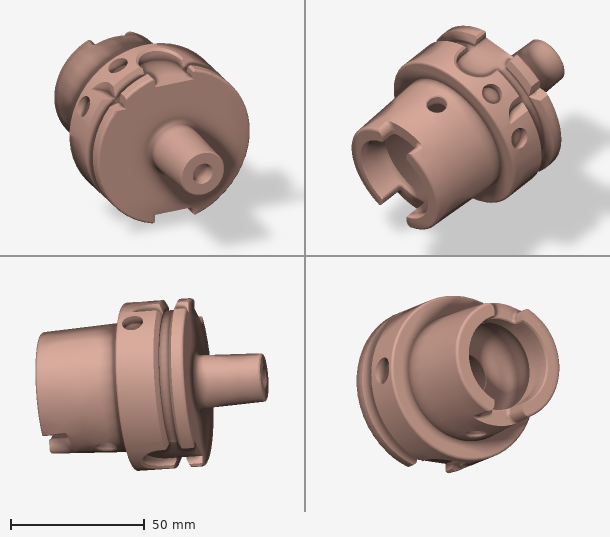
import cadquery as cq
import math


total_length = 82.95
shank_length = 32.0
flange_length = 25.9
nose_end = total_length - shank_length

flange_radius = 31.5
flange_fillet = 1.0
groove_radius = 27.5
groove_center = 18.0
groove_floor_width = 3.8
groove_top_width = 6.6
groove_shoulder_depth = 2.7

taper_base_radius = 24.3
taper_end_radius = 22.7
taper_end_fillet = 1.2
mouth_radius = 17.0
mouth_chamfer = 0.4
mouth_lead_in = 1.0
mouth_length = 12.7
cavity_radius = 20.0
cavity_end = -1.8
cavity_fillet = 4.5
thread_bore_radius = 8.6
thread_bore_chamfer = 0.3
thread_bore_depth = 11.6
through_bore_radius = 4.15

nose_base_radius = 9.95
nose_tip_radius = 9.05
nose_root_fillet = 1.8
nose_tip_chamfer = 0.5

drive_slot_half_width = 6.2
drive_slot_flare_start = 18.0
drive_slot_flare_radius = 2.9
drive_slot_floor_fillet = 1.3
upper_drive_slot_depth = 6.05
lower_drive_slot_depth = 10.0

cross_hole_x = -9.05
cross_hole_radius = 3.7
cross_hole_chamfer = 0.4

keyway_radius = 8.0
keyway_center_x = 13.0
keyway_floor = 26.55
keyway_chamfer = 1.0

notch_offset = 19.9
notch_radius = 7.5
notch_center_x = 12.0

rim_hole_x = 6.1
rim_hole_radius = 4.0
rim_hole_depth = 3.8
rim_hole_angles = (26.5, 63.5)
chip_hole_x = 6.8
chip_hole_radius = 5.0
chip_hole_depth = 4.6
chip_hole_angle = 180

selection_margin = 0.2


def turned(profile):
    """Revolve an (x, radius) outline about the X axis."""
    return profile.close().revolve(360, (0, 0, 0), (1, 0, 0))


def flange_envelope():
    """Turned outline of the flange with its gripper groove."""
    floor_half = groove_floor_width / 2
    top_half = groove_top_width / 2
    shoulder_radius = flange_radius - groove_shoulder_depth
    profile = (
        cq.Workplane("XY")
        .lineTo(0, flange_radius)
        .lineTo(groove_center - top_half, flange_radius)
        .lineTo(groove_center - floor_half, shoulder_radius)
        .lineTo(groove_center - floor_half, groove_radius)
        .lineTo(groove_center + floor_half, groove_radius)
        .lineTo(groove_center + floor_half, shoulder_radius)
        .lineTo(groove_center + top_half, flange_radius)
        .lineTo(flange_length, flange_radius)
        .lineTo(flange_length, 0)
    )
    return turned(profile).faces("<X or >X").edges().fillet(flange_fillet)


def slot_from(plane, center_x, center_across, radius):
    """Tall slot with a round end toward -X that runs out through the +X face."""
    run_out = flange_length
    height = flange_radius
    round_end = plane.center(center_x, center_across).circle(radius).extrude(height)
    straight = plane.center(center_x + run_out / 2, center_across).rect(run_out, 2 * radius)
    return round_end.union(straight.extrude(height))


def keyway_rim(side):
    """Selector for the outer edges of one keyway; side is 1 for the top and -1 for the bottom."""
    return cq.selectors.BoxSelector(
        (0, -keyway_radius - selection_margin, side * (keyway_floor + selection_margin)),
        (flange_length - selection_margin, keyway_radius + selection_margin, side * 2 * flange_radius),
    )


def flange():
    """Flange blank with its keyways and notch, trimmed to the turned outline."""
    body = cq.Workplane("YZ").circle(flange_radius).extrude(flange_length)
    floor_plane = cq.Workplane("XY", origin=(0, 0, keyway_floor))
    keyway = slot_from(floor_plane, keyway_center_x, 0, keyway_radius)
    body = body.cut(keyway).cut(keyway.mirror("XY"))
    for side in (1, -1):
        body = body.edges(keyway_rim(side)).edges("not |Z").chamfer(keyway_chamfer)

    notch_plane = cq.Workplane("XY", origin=(0, 0, notch_offset))
    body = body.cut(slot_from(notch_plane, notch_center_x, -notch_offset - notch_radius, notch_radius))
    return body.intersect(flange_envelope())


def shank():
    profile = (
        cq.Workplane("XY")
        .lineTo(0, taper_base_radius)
        .lineTo(-shank_length, taper_end_radius)
        .lineTo(-shank_length, 0)
    )
    return turned(profile).faces("<X").edges().fillet(taper_end_fillet)


def nose():
    root_end = flange_length + nose_root_fillet
    arc_low = nose_root_fillet * (1 - math.sqrt(0.5))
    profile = (
        cq.Workplane("XY")
        .moveTo(flange_length, 0)
        .lineTo(flange_length, nose_base_radius + nose_root_fillet)
        .threePointArc(
            (flange_length + arc_low, nose_base_radius + arc_low),
            (root_end, nose_base_radius),
        )
        .lineTo(nose_end, nose_tip_radius)
        .lineTo(nose_end, 0)
    )
    return turned(profile).faces(">X").edges().chamfer(nose_tip_chamfer)


def bore():
    """The hollow of the shank with the stepped bore behind it."""
    mouth = -shank_length
    lip = mouth + mouth_length
    arc_mid = cavity_fillet * (1 - math.sqrt(0.5))
    thread_end = cavity_end + thread_bore_depth
    profile = (
        cq.Workplane("XY")
        .moveTo(mouth, 0)
        .lineTo(mouth, mouth_radius + mouth_chamfer)
        .lineTo(mouth + mouth_lead_in, mouth_radius)
        .lineTo(lip, mouth_radius)
        .lineTo(lip, cavity_radius)
        .lineTo(cavity_end - cavity_fillet, cavity_radius)
        .threePointArc(
            (cavity_end - arc_mid, cavity_radius - arc_mid),
            (cavity_end, cavity_radius - cavity_fillet),
        )
        .lineTo(cavity_end, thread_bore_radius + thread_bore_chamfer)
        .lineTo(cavity_end + thread_bore_chamfer, thread_bore_radius)
        .lineTo(thread_end, thread_bore_radius)
        .lineTo(thread_end, through_bore_radius)
        .lineTo(nose_end, through_bore_radius)
        .lineTo(nose_end, 0)
    )
    return turned(profile)


def drive_slot(depth):
    """Slot on the +Z side whose walls curve apart toward the outside."""
    flare_top = drive_slot_flare_start + drive_slot_flare_radius
    flare_edge = drive_slot_half_width + drive_slot_flare_radius
    arc_inset = drive_slot_flare_radius * math.sqrt(0.5)
    opening = (
        cq.Workplane("YZ", origin=(-shank_length, 0, 0))
        .lineTo(drive_slot_half_width, 0)
        .lineTo(drive_slot_half_width, drive_slot_flare_start)
        .threePointArc(
            (flare_edge - arc_inset, drive_slot_flare_start + arc_inset),
            (flare_edge, flare_top),
        )
        .lineTo(taper_end_radius, flare_top)
        .lineTo(taper_end_radius, flange_radius)
        .lineTo(0, flange_radius)
        .mirrorY()
        .extrude(depth)
    )
    walls = cq.selectors.BoxSelector(
        (depth - shank_length - selection_margin, -flare_edge, selection_margin),
        (depth - shank_length + selection_margin, flare_edge, flare_top),
    )
    return opening.edges(walls).fillet(drive_slot_floor_fillet)


def drive_slot_lip(side, depth):
    """Selector for the bore edge at the floor of one drive slot."""
    floor_x = depth - shank_length
    return cq.selectors.BoxSelector(
        (floor_x - selection_margin, -drive_slot_half_width, side * drive_slot_half_width),
        (floor_x + selection_margin, drive_slot_half_width, side * (mouth_radius + selection_margin)),
    )


def cross_hole():
    plane = cq.Workplane("XY", origin=(cross_hole_x, 0, 0))
    return plane.circle(cross_hole_radius).extrude(flange_radius, both=True)


def cross_hole_rim(side):
    """Selector for the outer edges of the cross hole on one side of the shank."""
    reach = cross_hole_radius + selection_margin
    return cq.selectors.BoxSelector(
        (cross_hole_x - reach, -reach, side * cavity_radius),
        (cross_hole_x + reach, reach, side * flange_radius),
    )


def rim_hole(x, angle, radius, depth):
    """Blind radial hole; the angle is measured from -Y toward +Z."""
    turn = math.radians(angle)
    outward = cq.Vector(0, -math.cos(turn), math.sin(turn))
    floor = outward * (flange_radius - depth) + cq.Vector(x, 0, 0)
    plane = cq.Plane(origin=floor, xDir=(1, 0, 0), normal=outward)
    return cq.Workplane(plane).circle(radius).extrude(2 * depth)


result = flange().union(shank()).union(nose()).cut(bore())
result = result.cut(drive_slot(upper_drive_slot_depth))
result = result.cut(drive_slot(lower_drive_slot_depth).mirror("XY"))
for slot_side, slot_depth in ((1, upper_drive_slot_depth), (-1, lower_drive_slot_depth)):
    result = result.edges(drive_slot_lip(slot_side, slot_depth)).chamfer(mouth_chamfer)
result = result.cut(cross_hole())
for hole_side in (1, -1):
    result = result.edges(cross_hole_rim(hole_side)).edges("not |Z").chamfer(cross_hole_chamfer)
for hole_angle in rim_hole_angles:
    result = result.cut(rim_hole(rim_hole_x, hole_angle, rim_hole_radius, rim_hole_depth))
result = result.cut(rim_hole(chip_hole_x, chip_hole_angle, chip_hole_radius, chip_hole_depth))